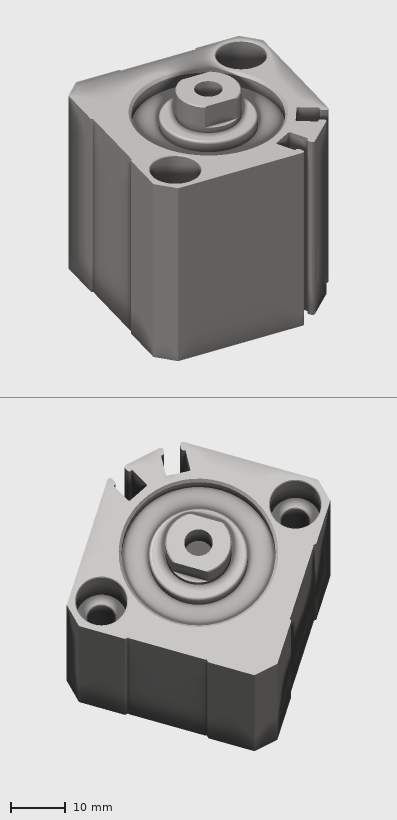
import cadquery as cq
import math


total_height = 42.5

side = 40.0
housing_height = 37.5
corner_chamfer = 3.3
slotted_corner_chamfer = 9.75

panel_half_width = 7.3
panel_depth = 0.35
panel_groove_depth = 0.45
edge_overlap = 0.42

recess_diameter = 28.0
recess_depth = 2.85
recess_chamfer = 0.5
collar_diameter = 18.0
collar_drop = 0.65
collar_fillet = 0.5

bolt_offset = 14.15
bolt_hole_diameter = 5.2
counterbore_diameter = 9.3
counterbore_depth = 8.5
bolt_chamfer = 0.15

slot_diagonal = 45.0
slot_tilt = 15.0
slot_floor_radius = 16.0
slot_half_width = 2.3
lip_radius = 20.1
mouth_half_width = 1.57
slot_floor_fillet = 0.3
slot_undercut_fillet = 0.13
lip_fillet = 0.5

rod_diameter = 12.0
rod_chamfer = 0.2
flat_width = 10.0
flat_length = 4.5
rod_hole_diameter = 5.2

half_side = side / 2
collar_top = housing_height - collar_drop
recess_floor = housing_height - recess_depth
rod_length = total_height - collar_top


def housing_block():
    """Square block with three small corner chamfers and one large one."""
    block = cq.Workplane("XY").box(side, side, housing_height, centered=(True, True, False))
    block = block.edges("|Z and (<X or <Y)").chamfer(corner_chamfer)
    slotted_edge = cq.selectors.NearestToPointSelector((half_side, half_side, housing_height / 2))
    return block.edges(slotted_edge).chamfer(slotted_corner_chamfer)


def side_panel():
    """Cutter for the sunken panel of the -Y face, with a V groove along both edges."""
    face = -half_side
    outside = face - edge_overlap
    groove_centre = panel_half_width + panel_groove_depth - panel_depth
    outer_edge = groove_centre + panel_groove_depth
    half_outline = [
        (outer_edge, outside),
        (outer_edge, face),
        (groove_centre, face + panel_groove_depth),
        (panel_half_width, face + panel_depth),
    ]
    mirrored = [(-x, y) for x, y in reversed(half_outline)]
    return cq.Workplane("XY").polyline(half_outline + mirrored).close().extrude(housing_height)


def slot_point(axis_angle, along, across):
    """XY point at a distance along the slot axis and a distance to its left."""
    angle = math.radians(axis_angle)
    x = along * math.cos(angle) - across * math.sin(angle)
    y = along * math.sin(angle) + across * math.cos(angle)
    return x, y


def sensor_slot(axis_angle):
    """T-shaped slot cutter running the full height, open radially outwards."""
    half_outline = [
        (slot_floor_radius, slot_half_width),
        (lip_radius, slot_half_width),
        (lip_radius, mouth_half_width),
        (side, mouth_half_width),
    ]
    mirrored = [(along, -across) for along, across in reversed(half_outline)]
    outline = [slot_point(axis_angle, *point) for point in half_outline + mirrored]
    return cq.Workplane("XY").polyline(outline).close().extrude(housing_height)


def mouth_radius(axis_angle, across):
    """Distance along the slot axis at which a mouth wall leaves the housing."""
    angle = math.radians(axis_angle)
    cos_a = math.cos(angle)
    sin_a = math.sin(angle)
    to_right_face = (half_side + across * sin_a) / cos_a
    to_back_face = (half_side - across * cos_a) / sin_a
    corner_sum = side - slotted_corner_chamfer
    to_corner_face = (corner_sum - across * (cos_a - sin_a)) / (cos_a + sin_a)
    return min(to_right_face, to_back_face, to_corner_face)


def fillet_upright_edge(body, point, radius):
    """Round the full-height edge that stands at an XY point."""
    selector = cq.selectors.NearestToPointSelector((*point, housing_height / 2))
    return body.edges("|Z").edges(selector).fillet(radius)


def cut_sensor_slot(body, axis_angle):
    """Cut one sensor slot and round its floor, undercuts and lips."""
    body = body.cut(sensor_slot(axis_angle))
    for hand in (-1, 1):
        wall = hand * slot_half_width
        mouth = hand * mouth_half_width
        rounded_edges = [
            (slot_floor_radius, wall, slot_floor_fillet),
            (lip_radius, wall, slot_undercut_fillet),
            (lip_radius, mouth, lip_fillet),
            (mouth_radius(axis_angle, mouth), mouth, lip_fillet),
        ]
        for along, across, radius in rounded_edges:
            body = fillet_upright_edge(body, slot_point(axis_angle, along, across), radius)
    return body


def front_recess():
    """Round recess cutter with a chamfered rim; it leaves the collar standing."""
    recess = (
        cq.Workplane("XY", origin=(0, 0, recess_floor))
        .circle(recess_diameter / 2)
        .extrude(recess_depth)
    )
    rim = cq.Workplane("XY").add(
        cq.Solid.makeCone(
            recess_diameter / 2,
            recess_diameter / 2 + recess_chamfer,
            recess_chamfer,
            pnt=cq.Vector(0, 0, housing_height - recess_chamfer),
        )
    )
    collar = (
        cq.Workplane("XY", origin=(0, 0, recess_floor))
        .circle(collar_diameter / 2)
        .extrude(collar_top - recess_floor)
        .faces(">Z")
        .edges()
        .fillet(collar_fillet)
    )
    return recess.union(rim).cut(collar)


def bolt_hole():
    """Counterbored through-hole cutter on the Z axis, chamfered at both upper rims."""
    hole_radius = bolt_hole_diameter / 2
    bore_radius = counterbore_diameter / 2
    bore_floor = housing_height - counterbore_depth
    profile = [
        (0, 0),
        (hole_radius, 0),
        (hole_radius, bore_floor - bolt_chamfer),
        (hole_radius + bolt_chamfer, bore_floor),
        (bore_radius, bore_floor),
        (bore_radius, housing_height - bolt_chamfer),
        (bore_radius + bolt_chamfer, housing_height),
        (0, housing_height),
    ]
    return cq.Workplane("XZ").polyline(profile).close().revolve(360, (0, 0), (0, 1))


def make_housing():
    body = housing_block()
    panel = side_panel()
    for turn in (0, -90):
        body = body.cut(panel.rotate((0, 0, 0), (0, 0, 1), turn))
    for tilt in (-slot_tilt, slot_tilt):
        body = cut_sensor_slot(body, slot_diagonal + tilt)
    body = body.cut(front_recess())
    for hand in (-1, 1):
        body = body.cut(bolt_hole().translate((hand * bolt_offset, -hand * bolt_offset, 0)))
    return body


def make_piston_rod():
    """Rod stub on the collar, with two wrench flats facing +-X and an axial hole."""
    rod = (
        cq.Workplane("XY", origin=(0, 0, collar_top))
        .circle(rod_diameter / 2)
        .extrude(rod_length)
        .faces(">Z")
        .edges()
        .chamfer(rod_chamfer)
    )
    flat_depth = (rod_diameter - flat_width) / 2
    for hand in (-1, 1):
        flat_cutter = cq.Workplane("XY").box(flat_depth, rod_diameter, flat_length)
        flat_x = hand * (flat_width + flat_depth) / 2
        rod = rod.cut(flat_cutter.translate((flat_x, 0, total_height - flat_length / 2)))
    return rod.faces(">Z").workplane(origin=(0, 0, total_height)).hole(rod_hole_diameter)


housing = make_housing()
piston_rod = make_piston_rod()

result = cq.Compound.makeCompound([housing.val(), piston_rod.val()])